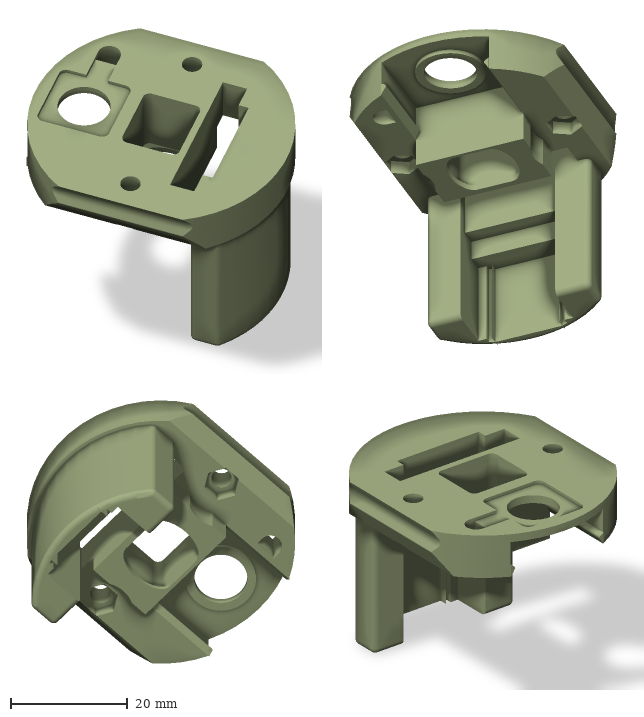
import cadquery as cq
import math

PLATE_RADIUS = 23.0
PLATE_THICKNESS = 8.2
FLAT_HALF_WIDTH = 20.0
FLAT_ANGLE = math.radians(30)
FLAT_RIDGE_Z = -4.15
FLAT_RIDGE_HEIGHT = 0.15
FLAT_GROOVE_RADIUS = 1.75

NOTCH_ROOF_Z = -1.5
NOTCH_HALF_WIDTH = 10.05
RAIL_LEFT_X = -20.9
RAIL_TOP_Z = -6.0
RAIL_HEIGHT = 1.05
RAIL_TIP_Z = -6.55
RAIL_TIP_RADIUS = 0.4

OPENING_X = -14.1
OPENING_DIAMETER = 9.1
COLLAR_DIAMETER = 12.1
COLLAR_HEIGHT = 0.75
RECESS_LENGTH = 13.0
RECESS_WIDTH = 12.9
RECESS_DEPTH = 0.75
CORNER_RADIUS = 1.3
CHANNEL_WIDTH = 4.0
CHANNEL_END_Y = 14.35
CABLE_HOLE_START_Y = 11.05

BLOCK_LEFT_X = -5.8
BLOCK_RIGHT_X = 6.45
BLOCK_BOTTOM_Z = -13.35
WINDOW_LENGTH = 10.4
WINDOW_WIDTH = 12.35
WINDOW_CORNER_RADIUS = 1.2
WINDOW_FLOOR_THICKNESS = 1.0
FLOOR_OPENING_WIDTH = 12.1
FLOOR_OPENING_STRAIGHT = 6.45

SCREW_Y = 15.1
SCREW_DIAMETER = 3.5
NUT_ACROSS_FLATS = 5.45
NUT_POCKET_DEPTH = 2.5
SCREW_CLEARANCE_RADIUS = 5.7

TOWER_LEFT_X = 10.8
TOWER_RADIUS = 22.15
TOWER_HALF_WIDTH = 15.25
TOWER_BOTTOM_Z = -34.85
TOWER_EDGE_RADIUS = 1.05

SLOT_STEP_X = 10.85
SLOT_HALF_WIDTH = 12.95
CAVITY_HALF_WIDTH = 8.85
UPPER_CAVITY_X = 12.7
MIDDLE_CAVITY_X = 15.65
LOWER_CAVITY_X = 18.55
UPPER_CAVITY_BOTTOM_Z = -16.05
MIDDLE_CAVITY_BOTTOM_Z = -19.7
INNER_CAVITY_HALF_WIDTH = 7.25
INNER_CAVITY_RADIUS = 20.9
INNER_CAVITY_BACK_X = 20.0
FIN_OUTER_Y = 6.3
FIN_THICKNESS = 0.05

STRIP_WIDTH = 0.15
STRIP_DEPTH = 0.1


def box(x_min, x_max, y_min, y_max, z_min, z_max):
    """Axis-aligned box between the given limits."""
    size = (x_max - x_min, y_max - y_min, z_max - z_min)
    return cq.Workplane("XY").box(*size, centered=False).translate((x_min, y_min, z_min))


def cylinder(x, y, radius, z_min, z_max):
    """Vertical cylinder between two heights."""
    return cq.Workplane("XY", origin=(x, y, z_min)).circle(radius).extrude(z_max - z_min)


def flat_side_profile():
    """Cross-section of the plate across its flats: a rounded V groove, a narrow ridge and a slanted foot."""
    slope = math.tan(FLAT_ANGLE)
    ridge_top_z = FLAT_RIDGE_Z + FLAT_RIDGE_HEIGHT / 2
    ridge_bottom_z = FLAT_RIDGE_Z - FLAT_RIDGE_HEIGHT / 2
    ridge_y = FLAT_HALF_WIDTH - FLAT_RIDGE_HEIGHT / 2 * slope
    apex_z = FLAT_RIDGE_Z / 2
    apex_y = FLAT_HALF_WIDTH + apex_z * slope
    tangent_rise = FLAT_GROOVE_RADIUS * math.sin(FLAT_ANGLE)
    tangent_y = apex_y + tangent_rise * slope
    arc_y = apex_y + FLAT_GROOVE_RADIUS * (1 / math.cos(FLAT_ANGLE) - 1)
    foot_y = FLAT_HALF_WIDTH - (PLATE_THICKNESS + FLAT_RIDGE_Z) * slope
    return (
        cq.Workplane("YZ", origin=(-PLATE_RADIUS, 0, 0))
        .moveTo(0, 0)
        .lineTo(FLAT_HALF_WIDTH, 0)
        .lineTo(tangent_y, apex_z + tangent_rise)
        .threePointArc((arc_y, apex_z), (tangent_y, apex_z - tangent_rise))
        .lineTo(ridge_y, ridge_top_z)
        .lineTo(ridge_y, ridge_bottom_z)
        .lineTo(foot_y, -PLATE_THICKNESS)
        .lineTo(0, -PLATE_THICKNESS)
        .close()
    )


def make_plate():
    """Disc trimmed by the profiled flats on both sides."""
    half = flat_side_profile().extrude(2 * PLATE_RADIUS)
    section = half.union(half.mirror("XZ"))
    return cylinder(0, 0, PLATE_RADIUS, -PLATE_THICKNESS, 0).intersect(section)


def make_tower():
    """Tower with rounded vertical edges and a rounded bottom edge."""
    blank = box(
        TOWER_LEFT_X, PLATE_RADIUS, -TOWER_HALF_WIDTH, TOWER_HALF_WIDTH, TOWER_BOTTOM_Z, -PLATE_THICKNESS
    )
    round_side = cylinder(0, 0, TOWER_RADIUS, TOWER_BOTTOM_Z, -PLATE_THICKNESS)
    tower = blank.intersect(round_side)
    return tower.edges("|Z").fillet(TOWER_EDGE_RADIUS).faces("<Z").edges().fillet(TOWER_EDGE_RADIUS)


def make_inner_cavity():
    """Deepest part of the tower cavity, with a cylindrical back that is flat in the middle."""
    limits = box(
        MIDDLE_CAVITY_X,
        INNER_CAVITY_BACK_X,
        -INNER_CAVITY_HALF_WIDTH,
        INNER_CAVITY_HALF_WIDTH,
        TOWER_BOTTOM_Z,
        MIDDLE_CAVITY_BOTTOM_Z,
    )
    return limits.intersect(cylinder(0, 0, INNER_CAVITY_RADIUS, TOWER_BOTTOM_Z, MIDDLE_CAVITY_BOTTOM_Z))


def make_tower_cavity():
    """T-slot through the plate, continued down the tower as a cavity that deepens in steps."""
    slot = box(BLOCK_RIGHT_X, SLOT_STEP_X, -SLOT_HALF_WIDTH, SLOT_HALF_WIDTH, -PLATE_THICKNESS, 0)
    cavity = slot.union(make_inner_cavity())
    steps = [
        (UPPER_CAVITY_X, 0),
        (MIDDLE_CAVITY_X, UPPER_CAVITY_BOTTOM_Z),
        (LOWER_CAVITY_X, MIDDLE_CAVITY_BOTTOM_Z),
    ]
    for back_x, top_z in steps:
        step = box(BLOCK_RIGHT_X, back_x, -CAVITY_HALF_WIDTH, CAVITY_HALF_WIDTH, TOWER_BOTTOM_Z, top_z)
        cavity = cavity.union(step)
    return cavity


def make_fin(side):
    """Thin upright fin standing on the cylindrical back of the tower cavity."""
    center_y = side * (FIN_OUTER_Y - FIN_THICKNESS / 2)
    return box(
        LOWER_CAVITY_X,
        INNER_CAVITY_RADIUS,
        center_y - FIN_THICKNESS / 2,
        center_y + FIN_THICKNESS / 2,
        TOWER_BOTTOM_Z,
        MIDDLE_CAVITY_BOTTOM_Z,
    )


def make_rail(side):
    """Snap rail with a triangular section on one side wall of the notch."""
    wall_y = side * NOTCH_HALF_WIDTH
    tip_y = side * (NOTCH_HALF_WIDTH - RAIL_HEIGHT)
    return (
        cq.Workplane("YZ", origin=(RAIL_LEFT_X, 0, 0))
        .polyline([(wall_y, RAIL_TOP_Z), (tip_y, RAIL_TIP_Z), (wall_y, -PLATE_THICKNESS)])
        .close()
        .extrude(BLOCK_LEFT_X - RAIL_LEFT_X)
        .edges(cq.NearestToPointSelector((RAIL_LEFT_X / 2 + BLOCK_LEFT_X / 2, tip_y, RAIL_TIP_Z)))
        .fillet(RAIL_TIP_RADIUS)
    )


def make_block():
    """Central block that hangs below the plate, hollowed for the screws on both sides."""
    block = box(
        BLOCK_LEFT_X, BLOCK_RIGHT_X, -NOTCH_HALF_WIDTH, NOTCH_HALF_WIDTH, BLOCK_BOTTOM_Z, -PLATE_THICKNESS
    )
    for side in (-1, 1):
        block = block.cut(
            cylinder(0, side * SCREW_Y, SCREW_CLEARANCE_RADIUS, BLOCK_BOTTOM_Z, -PLATE_THICKNESS)
        )
    return block


def make_window():
    """Window through the block: a rounded rectangle above an opening with elliptical ends."""
    floor_z = BLOCK_BOTTOM_Z + WINDOW_FLOOR_THICKNESS
    half_length = WINDOW_LENGTH / 2
    half_straight = FLOOR_OPENING_STRAIGHT / 2
    end_height = FLOOR_OPENING_WIDTH / 2 - half_straight
    window = (
        box(-half_length, half_length, -WINDOW_WIDTH / 2, WINDOW_WIDTH / 2, floor_z, 0)
        .edges("|Z")
        .fillet(WINDOW_CORNER_RADIUS)
    )
    window = window.union(
        box(-half_length, half_length, -half_straight, half_straight, BLOCK_BOTTOM_Z, floor_z)
    )
    for side in (-1, 1):
        end = (
            cq.Workplane("XY", origin=(0, side * half_straight, BLOCK_BOTTOM_Z))
            .ellipse(half_length, end_height)
            .extrude(WINDOW_FLOOR_THICKNESS)
        )
        window = window.union(end)
    return window


def make_opening():
    """Round opening with its square recess, and a channel leading to a cable hole."""
    half_channel = CHANNEL_WIDTH / 2
    channel_left = OPENING_X - half_channel
    channel_right = OPENING_X + half_channel
    end_center_y = CHANNEL_END_Y - half_channel
    recess = (
        cq.Workplane("XY", origin=(OPENING_X, 0, -RECESS_DEPTH))
        .rect(RECESS_LENGTH, RECESS_WIDTH)
        .extrude(RECESS_DEPTH)
        .edges("|Z")
        .fillet(CORNER_RADIUS)
    )
    opening = cylinder(OPENING_X, 0, OPENING_DIAMETER / 2, NOTCH_ROOF_Z - COLLAR_HEIGHT, 0)
    channel = box(channel_left, channel_right, 0, CABLE_HOLE_START_Y, -RECESS_DEPTH, 0)
    cable_hole = box(channel_left, channel_right, CABLE_HOLE_START_Y, end_center_y, -PLATE_THICKNESS, 0)
    cable_area = box(channel_left, channel_right, CABLE_HOLE_START_Y, CHANNEL_END_Y, -PLATE_THICKNESS, 0)
    cable_end = cylinder(OPENING_X, end_center_y, half_channel, -PLATE_THICKNESS, 0)
    cable_hole = cable_hole.union(cable_end).intersect(cable_area)
    return recess.union(opening).union(channel).union(cable_hole)


def make_screw_hole(side):
    """Screw hole through the plate with a nut pocket, flats facing along Y, in the underside."""
    hole = cylinder(0, side * SCREW_Y, SCREW_DIAMETER / 2, -PLATE_THICKNESS, 0)
    nut_pocket = (
        cq.Workplane("XY", origin=(0, side * SCREW_Y, -PLATE_THICKNESS))
        .polygon(6, NUT_ACROSS_FLATS / math.cos(math.pi / 6))
        .extrude(NUT_POCKET_DEPTH)
    )
    return hole.union(nut_pocket)


def make_strip():
    """Thin strip flush with the left face of the block, from the plate top to the block bottom."""
    return box(
        BLOCK_LEFT_X,
        BLOCK_LEFT_X + STRIP_DEPTH,
        -STRIP_WIDTH / 2,
        STRIP_WIDTH / 2,
        BLOCK_BOTTOM_Z,
        0,
    )


def make_housing(strip):
    """Plate, block and tower as one solid, with a groove that holds the strip."""
    notch = box(
        -PLATE_RADIUS, BLOCK_LEFT_X, -NOTCH_HALF_WIDTH, NOTCH_HALF_WIDTH, -PLATE_THICKNESS, NOTCH_ROOF_Z
    )
    collar = cylinder(OPENING_X, 0, COLLAR_DIAMETER / 2, NOTCH_ROOF_Z - COLLAR_HEIGHT, NOTCH_ROOF_Z)
    housing = make_plate().cut(notch).union(collar).union(make_block()).union(make_tower())
    housing = housing.cut(make_tower_cavity()).cut(make_window()).cut(make_opening())
    for side in (-1, 1):
        housing = housing.union(make_rail(side)).union(make_fin(side)).cut(make_screw_hole(side))
    return housing.cut(strip)


strip = make_strip()
housing = make_housing(strip)

result = cq.Compound.makeCompound([housing.solids().val(), strip.val()])